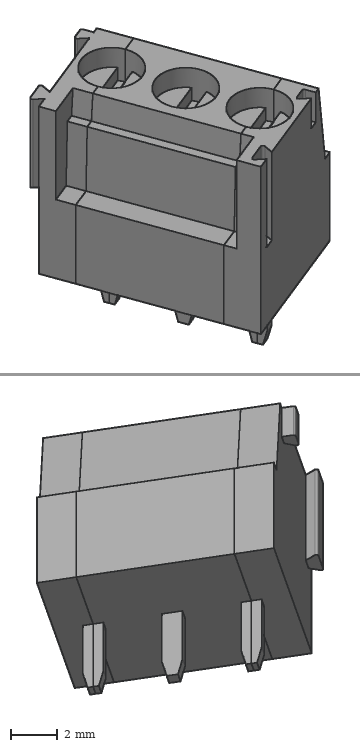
import cadquery as cq

pole_count = 3
pole_pitch = 3.5
block_length = 10.5
end_length = (block_length - (pole_count - 1) * pole_pitch) / 2
block_depth = 7.3
total_height = 12.6
block_bottom = 3.52
pole_y = 3.79
pole_xs = [end_length + i * pole_pitch for i in range(pole_count)]

ledge_height = 4.8
ledge_depth = 0.5
top_setback = 1.18

shaft_diameter = 2.9
shaft_depth = 1.07
slot_width = 0.7
slot_depth = 0.7

recess_start = 0.81
recess_end = 9.35
recess_height = 4.8
step_drop = 1.4
upper_wall_top_y = 1.8
upper_wall_bottom_y = 1.65
lower_wall_top_y = 1.21
lower_wall_bottom_y = 1.08

pin_width = 0.91
pin_tip_width = 0.5
pin_thickness = 0.5
pin_taper_height = 0.81

key_reach = 0.6
key_flare = 0.34
key_corner_radius = 0.1
front_key_y = 0.88
front_key_root_width = 0.54
front_key_height = recess_height
rear_key_back_y = 5.8
rear_key_root_width = 0.45
rear_key_height = 1.63


def block():
    """Plain block, extruded along X from its side profile."""
    ledge_z = block_bottom + ledge_height
    profile = [
        (0, block_bottom),
        (block_depth, block_bottom),
        (block_depth, ledge_z),
        (block_depth - ledge_depth, ledge_z),
        (block_depth - top_setback, total_height),
        (0, total_height),
    ]
    return cq.Workplane("YZ").polyline(profile).close().extrude(block_length)


def front_recess():
    """Stepped recess that opens to the front and the top."""
    floor_z = total_height - recess_height
    step_z = total_height - step_drop
    profile = [
        (0, floor_z),
        (lower_wall_bottom_y, floor_z),
        (lower_wall_top_y, step_z),
        (upper_wall_bottom_y, step_z),
        (upper_wall_top_y, total_height),
        (0, total_height),
    ]
    recess = cq.Workplane("YZ").workplane(offset=recess_start).polyline(profile).close()
    return recess.extrude(recess_end - recess_start)


def screw_shaft(x):
    """Round shaft down to the screw head, with the driver slot below it."""
    head_z = total_height - shaft_depth
    center = (x, pole_y, head_z)
    shaft = cq.Workplane("XY", origin=center).circle(shaft_diameter / 2).extrude(shaft_depth)
    slot_disc = cq.Workplane("XY", origin=center).circle(shaft_diameter / 2).extrude(-slot_depth)
    slot_bar = cq.Workplane("XY", origin=center).rect(slot_width, shaft_diameter).extrude(-slot_depth)
    return shaft.union(slot_disc.intersect(slot_bar))


def solder_pin(x):
    """Flat pin below the block, tapered in width at its tip."""
    half_width = pin_width / 2
    half_tip = pin_tip_width / 2
    outline = [
        (x - half_tip, 0),
        (x + half_tip, 0),
        (x + half_width, pin_taper_height),
        (x + half_width, block_bottom),
        (x - half_width, block_bottom),
        (x - half_width, pin_taper_height),
    ]
    plane = cq.Workplane("XZ", origin=(0, pole_y, 0))
    return plane.polyline(outline).close().extrude(pin_thickness / 2, both=True)


def dovetail(root_x, root_front, root_back, back_flare, height):
    """Vertical dovetail that reaches toward -X from root_x and hangs from the block top."""
    outer_x = root_x - key_reach
    outline = [
        (root_x, root_front),
        (outer_x, root_front - key_flare),
        (outer_x, root_back + back_flare),
        (root_x, root_back),
    ]
    bar = cq.Workplane("XY", origin=(0, 0, total_height)).polyline(outline).close().extrude(-height)
    return bar.edges("|Z").edges("<X").fillet(key_corner_radius)


def dovetail_pair(root_x):
    """Symmetric front dovetail and one-sided rear dovetail."""
    front = dovetail(
        root_x,
        front_key_y - front_key_root_width / 2,
        front_key_y + front_key_root_width / 2,
        key_flare,
        front_key_height,
    )
    rear = dovetail(root_x, rear_key_back_y - rear_key_root_width, rear_key_back_y, 0, rear_key_height)
    return [front, rear]


def section(x_start, x_end):
    """Stretch of the terminal block, pins included, between two X planes."""
    body = block().cut(front_recess())
    for x in pole_xs:
        body = body.cut(screw_shaft(x)).union(solder_pin(x))
    slab_size = (x_end - x_start, block_depth, total_height)
    slab = cq.Workplane("XY", origin=(x_start, 0, 0)).box(*slab_size, centered=False)
    return body.intersect(slab)


def left_end_section():
    """End section that carries the dovetail keys."""
    body = section(0, pole_xs[0])
    for key in dovetail_pair(0):
        body = body.union(key)
    return body


def middle_section():
    """Section between the axes of the two outer poles."""
    return section(pole_xs[0], pole_xs[-1])


def right_end_section():
    """End section that carries the dovetail grooves."""
    body = section(pole_xs[-1], block_length)
    for groove in dovetail_pair(block_length):
        body = body.cut(groove)
    return body


left_end = left_end_section()
middle = middle_section()
right_end = right_end_section()

result = cq.Compound.makeCompound([left_end.val(), middle.val(), right_end.val()])